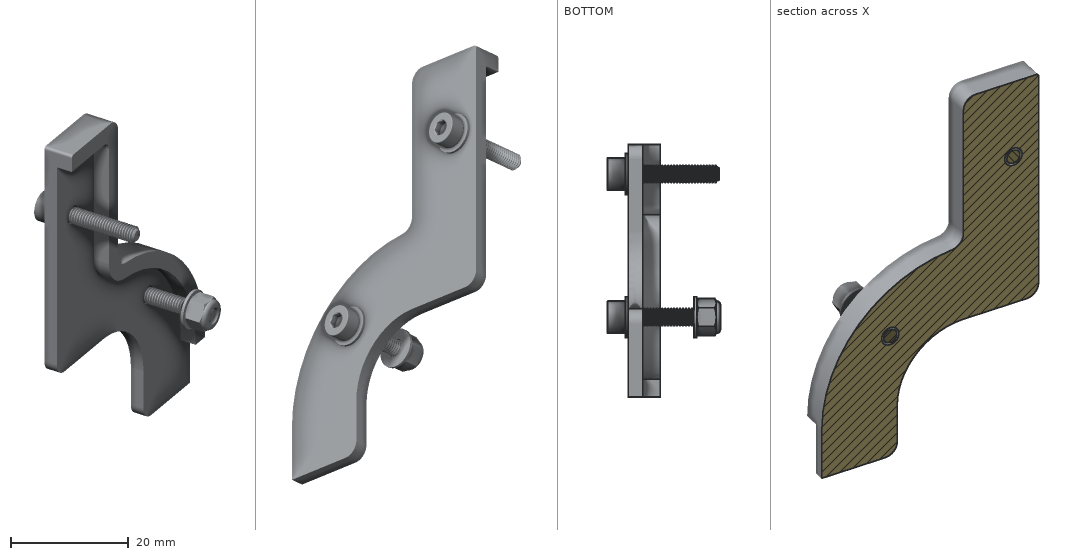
import cadquery as cq
import math


overall_depth = 43.0
overall_height = 68.0
inner_radius = 13.0
band_width = 15.0
outer_radius = inner_radius + band_width
column_width = overall_depth - outer_radius
leg_height = 10.0
corner_radius = 2.5
edge_radius = 0.5
arc_y = column_width
arc_z = leg_height

web_thickness = 2.5
rim_reach = 5.5
rim_wall = 3.0
rim_top_wall = 3.2
rim_fillet = 1.6
clearance_diameter = 3.3

thread_diameter = 3.0
thread_root_diameter = 2.4
tip_diameter = 2.0
thread_pitch = 0.5
thread_turns = 31
thread_crest = thread_pitch / 8
thread_root = thread_pitch / 4
shank_length = 16.0
tip_length = 0.3
thread_start = shank_length - tip_length - thread_turns * thread_pitch
head_diameter = 5.5
head_height = 3.0
head_rim_round = 0.15
head_base_round = 0.2
socket_width = 2.5
socket_mouth_diameter = 3.0
socket_depth = 1.3
socket_mouth_depth = 0.15

washer_diameter = 7.0
washer_hole_diameter = 3.2
washer_thickness = 0.5

nut_width = 5.5
nut_hex_height = 3.25
nut_collar_height = 0.75
nut_washer_x = 11.2

column_axis = (5.0, 52.8)
band_axis_radius = 20.4
band_axis_offset = band_axis_radius * math.cos(math.radians(45))
band_axis = (arc_y + band_axis_offset, arc_z + band_axis_offset)
fastener_axes = [column_axis, band_axis]


def hex_corner_diameter(width_across_flats):
    return width_across_flats / math.cos(math.radians(30))


def revolve_about_x(points):
    """Solid of revolution about X from (x, radius) points, the ends closed on the axis."""
    return cq.Workplane("XY").polyline(points).close().revolve(360, (0, 0, 0), (1, 0, 0))


def disc(x_start, length, diameter, axis=(0, 0)):
    """Cylinder along +X from x_start, centred on the given (Y, Z) axis."""
    return cq.Workplane("YZ", origin=(x_start, *axis)).circle(diameter / 2).extrude(length)


def trace_upper_edge(sketch, inset):
    """Continue a sketch from the outer arc's start, round the arc and the junction fillet,
    to the column's left edge, all moved inwards by `inset`."""
    arc = outer_radius - inset
    fillet = corner_radius + inset
    fillet_y = arc_y + corner_radius
    fillet_rise = math.sqrt((outer_radius + corner_radius) ** 2 - corner_radius**2)
    fillet_z = arc_z + fillet_rise
    arc_sweep = math.atan2(fillet_rise, corner_radius)
    fillet_middle = math.pi + arc_sweep / 2

    def on_arc(angle):
        return arc_y + arc * math.cos(angle), arc_z + arc * math.sin(angle)

    def on_fillet(angle):
        return fillet_y + fillet * math.cos(angle), fillet_z + fillet * math.sin(angle)

    sketch = sketch.threePointArc(on_arc(arc_sweep / 2), on_arc(arc_sweep))
    return sketch.threePointArc(on_fillet(fillet_middle), on_fillet(math.pi))


def fillet_corner(body, y, z, radius):
    """Round the edge along X that lies nearest to (y, z)."""
    nearest = cq.selectors.NearestToPointSelector((rim_reach / 2, y, z))
    return body.edges("|X").edges(nearest).fillet(radius)


def make_blank():
    """The bracket's full outline at full thickness, with its corners rounded."""
    start = cq.Workplane("YZ").moveTo(overall_depth, 0).lineTo(overall_depth, arc_z)
    arc_diagonal = inner_radius * math.cos(math.radians(45))
    blank = (
        trace_upper_edge(start, 0)
        .lineTo(column_width, overall_height)
        .lineTo(0, overall_height)
        .lineTo(0, arc_z + inner_radius)
        .lineTo(arc_y, arc_z + inner_radius)
        .threePointArc((arc_y + arc_diagonal, arc_z + arc_diagonal), (arc_y + inner_radius, arc_z))
        .lineTo(arc_y + inner_radius, 0)
        .close()
        .extrude(rim_reach)
    )
    blank = fillet_corner(blank, column_width, overall_height, corner_radius)
    blank = fillet_corner(blank, 0, arc_z + inner_radius, corner_radius)
    blank = fillet_corner(blank, arc_y + inner_radius, 0, corner_radius)
    return fillet_corner(blank, 0, overall_height, edge_radius)


def make_rim_pocket():
    """Space behind the web, which leaves a rim along the top, the column's left and the arc."""
    start = (
        cq.Workplane("YZ", origin=(web_thickness, 0, 0))
        .moveTo(overall_depth, 0)
        .lineTo(overall_depth, arc_z)
        .lineTo(overall_depth - rim_wall, arc_z)
    )
    pocket_top = overall_height - rim_top_wall
    pocket = (
        trace_upper_edge(start, rim_wall)
        .lineTo(column_width - rim_wall, pocket_top)
        .lineTo(0, pocket_top)
        .lineTo(0, 0)
        .close()
        .extrude(rim_reach - web_thickness)
    )
    return fillet_corner(pocket, column_width - rim_wall, pocket_top, rim_fillet)


def make_bracket():
    bracket = make_blank().cut(make_rim_pocket())
    for axis in fastener_axes:
        bracket = bracket.cut(disc(0, web_thickness, clearance_diameter, axis))
    return bracket


def make_washer(x_start, axis):
    ring = disc(x_start, washer_thickness, washer_diameter, axis)
    return ring.cut(disc(x_start, washer_thickness, washer_hole_diameter, axis))


def make_shank():
    """Threaded shank from X = 0 along +X, its thread made of equal rings on the root cylinder."""
    root = thread_root_diameter / 2
    crest = thread_diameter / 2
    flank = (thread_pitch - thread_crest - thread_root) / 2
    profile = [(0, 0), (0, root)]
    for turn in range(thread_turns):
        x = thread_start + turn * thread_pitch
        profile += [
            (x, root),
            (x + flank, crest),
            (x + flank + thread_crest, crest),
            (x + 2 * flank + thread_crest, root),
        ]
    profile += [
        (shank_length - tip_length, root),
        (shank_length, tip_diameter / 2),
        (shank_length, 0),
    ]
    return revolve_about_x(profile)


def make_socket():
    """Hexagonal key socket with a conical mouth, cut into the head's outer face."""
    hexagon = (
        cq.Workplane("YZ", origin=(-head_height, 0, 0))
        .polygon(6, hex_corner_diameter(socket_width))
        .extrude(socket_depth)
    )
    mouth = revolve_about_x([
        (-head_height, 0),
        (-head_height, socket_mouth_diameter / 2),
        (socket_mouth_depth - head_height, socket_width / 2),
        (socket_mouth_depth - head_height, 0),
    ])
    return hexagon.union(mouth)


def make_screw(axis):
    head = disc(-head_height, head_height, head_diameter)
    head = head.faces("<X").edges().fillet(head_rim_round)
    head = head.faces(">X").edges().fillet(head_base_round)
    screw = head.union(make_shank()).cut(make_socket())
    return screw.translate((-washer_thickness, *axis))


def make_nut(x_start, axis):
    """Locknut: a hexagon with turned corners, then a rounded collar at the far end."""
    flat_radius = nut_width / 2
    point_radius = hex_corner_diameter(nut_width) / 2
    turned_length = (point_radius - flat_radius) * math.tan(math.radians(30))
    envelope = revolve_about_x([
        (0, 0),
        (0, flat_radius),
        (turned_length, point_radius),
        (nut_hex_height - turned_length, point_radius),
        (nut_hex_height, flat_radius),
        (nut_hex_height, 0),
    ])
    hexagon = cq.Workplane("YZ").polygon(6, 2 * point_radius).extrude(nut_hex_height)
    collar_root = nut_hex_height - nut_collar_height
    collar = disc(collar_root, 2 * nut_collar_height, nut_width)
    collar = collar.faces(">X").edges().fillet(nut_collar_height)
    nut = hexagon.intersect(envelope).union(collar)
    nut = nut.cut(disc(0, nut_hex_height + nut_collar_height, thread_diameter))
    return nut.translate((x_start, *axis))


bracket = make_bracket()
screws = [make_screw(axis) for axis in fastener_axes]
head_washers = [make_washer(-washer_thickness, axis) for axis in fastener_axes]
nut_washer = make_washer(nut_washer_x, band_axis)
nut = make_nut(nut_washer_x + washer_thickness, band_axis)

fasteners = [*screws, *head_washers, nut_washer, nut]
result = cq.Compound.makeCompound([bracket.val(), *[body.val() for body in fasteners]])